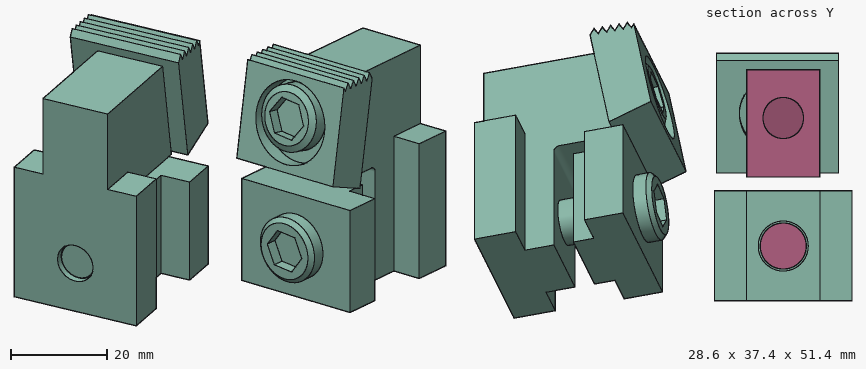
import cadquery as cq
import math

body_width = 28.55
post_width = 15.2
incline = 10.0
incline_sin = math.sin(math.radians(incline))
incline_cos = math.cos(math.radians(incline))
incline_tan = math.tan(math.radians(incline))

post_bottom = 0.15
post_top = 47.95
wing_top = 30.35
wing_depth = 8.95
leg_depth = 15.2
overhang_bottom = 25.65
overhang_reach = 28.45
corner_fillet = 1.3

jaw_width = 25.4
jaw_center_x = -1.2
jaw_thickness = 9.5
jaw_tip_z = 26.45
jaw_bottom_slope = 20.0
crest_z = 51.4
tooth_count = 5
tooth_pitch = 1.8
tooth_half_angle = 30.0
jaw_hole_z = 38.7
jaw_screw_z = 39.2
counterbore_diameter = 18.05
counterbore_depth = 4.05
front_recess_diameter = 15.8
front_recess_depth = 2.25
web_hole_diameter = 14.5

plate_height = 22.85
plate_front = 19.4
plate_shoulder = 23.85
plate_back = 32.15
plate_hole_diameter = 10.4

head_diameter = 14.3
clamp_head_height = 3.8
jaw_head_recess = 0.15
shank_diameter = 9.6
thread_diameter = 8.25
tip_chamfer = 0.25
socket_across_corners = 9.15
socket_depth = 2.55
socket_turn = -6.0
clamp_screw_z = 11.35
clamp_tip_gap = 1.35
clamp_face_diameter = 12.35
clamp_chamfer_height = 1.0
jaw_face_diameter = 11.4
jaw_chamfer_height = 0.8
jaw_thread_length = 12.85


def seat_y(z):
    """Y of the inclined jaw seat at height z."""
    return overhang_reach - (z - overhang_bottom) * incline_tan


def seat_plane(x, z, distance):
    """Plane square to the axis that leaves the jaw seat at (x, z), `distance` behind the seat."""
    origin = (x, seat_y(z) + distance * incline_cos, z + distance * incline_sin)
    return cq.Plane(origin=origin, xDir=(1, 0, 0), normal=(0, incline_cos, incline_sin))


def clamp_plane(y):
    """Plane facing +Y at the given Y, centred on the clamp screw axis."""
    return cq.Plane(origin=(0, y, clamp_screw_z), xDir=(1, 0, 0), normal=(0, 1, 0))


def cylinder(plane, diameter, length):
    return cq.Workplane(plane).circle(diameter / 2).extrude(length)


def centered_block(width, y_front, y_back, z_bottom, z_top):
    """Block centred on X = 0."""
    return (
        cq.Workplane("XY", origin=(0, (y_front + y_back) / 2, z_bottom))
        .rect(width, y_back - y_front)
        .extrude(z_top - z_bottom)
    )


def make_post():
    upright = (
        cq.Workplane("YZ", origin=(-post_width / 2, 0, 0))
        .moveTo(0, post_bottom)
        .lineTo(leg_depth, post_bottom)
        .lineTo(leg_depth, overhang_bottom - corner_fillet)
        .radiusArc((leg_depth + corner_fillet, overhang_bottom), corner_fillet)
        .lineTo(overhang_reach, overhang_bottom)
        .lineTo(seat_y(post_top), post_top)
        .lineTo(0, post_top)
        .close()
        .extrude(post_width)
    )
    base = centered_block(body_width, 0, wing_depth, post_bottom, wing_top)
    clamp_hole = cylinder(clamp_plane(0), thread_diameter, leg_depth)
    jaw_hole = cylinder(seat_plane(0, jaw_screw_z, 0), thread_diameter, -jaw_thread_length)
    return upright.union(base).cut(clamp_hole).cut(jaw_hole)


def jaw_outline():
    """Side outline of the jaw as (y, z) points, with its toothed top edge."""
    flank_slope = 1 / math.tan(math.radians(tooth_half_angle))
    tooth_depth = tooth_pitch / 2 * flank_slope
    root_z = crest_z - tooth_depth
    root_y = seat_y(root_z)
    back_shift = jaw_thickness / incline_cos
    bottom_slope = math.tan(math.radians(jaw_bottom_slope))

    points = [(seat_y(jaw_tip_z), jaw_tip_z)]
    for tooth in range(tooth_count):
        tooth_start = root_y + tooth * tooth_pitch
        points.append((tooth_start, root_z))
        points.append((tooth_start + tooth_pitch / 2, crest_z))
    last_root = root_y + tooth_count * tooth_pitch
    points.append((last_root, root_z))

    back_at_root = root_y + back_shift
    part_tooth_rise = (back_at_root - last_root) * flank_slope / (1 + flank_slope * incline_tan)
    points.append((last_root + part_tooth_rise / flank_slope, root_z + part_tooth_rise))

    bottom_run = back_shift / (1 + bottom_slope * incline_tan)
    points.append((seat_y(jaw_tip_z) + bottom_run, jaw_tip_z + bottom_run * bottom_slope))
    return points


def make_jaw():
    blank = (
        cq.Workplane("YZ", origin=(jaw_center_x - jaw_width / 2, 0, 0))
        .polyline(jaw_outline())
        .close()
        .extrude(jaw_width)
    )
    front_center = seat_plane(jaw_center_x, jaw_hole_z, 0)
    back_center = seat_plane(jaw_center_x, jaw_hole_z, jaw_thickness)
    counterbore = cylinder(back_center, counterbore_diameter, -counterbore_depth)
    front_recess = cylinder(front_center, front_recess_diameter, front_recess_depth)
    web_hole = cylinder(seat_plane(0, jaw_screw_z, 0), web_hole_diameter, jaw_thickness)
    return blank.cut(counterbore).cut(front_recess).cut(web_hole)


def make_clamp_plate():
    wide_part = centered_block(body_width, plate_shoulder, plate_back, 0, plate_height)
    tongue = centered_block(post_width, plate_front, plate_shoulder, 0, plate_height)
    screw_hole = cylinder(clamp_plane(plate_front), plate_hole_diameter, plate_back - plate_front)
    return wide_part.union(tongue).cut(screw_hole)


def make_screw(seat, head_height, face_diameter, chamfer_height, shank_length, thread_length):
    """Socket-head screw whose head stands on the `seat` plane and points along its normal."""
    thread_start = -shank_length
    thread_end = thread_start - thread_length
    head = (
        cq.Workplane("XZ")
        .lineTo(head_diameter / 2, 0)
        .lineTo(head_diameter / 2, head_height - chamfer_height)
        .lineTo(face_diameter / 2, head_height)
        .lineTo(0, head_height)
        .close()
        .revolve(360, (0, 0, 0), (0, 1, 0))
    )
    thread = (
        cq.Workplane("XY", origin=(0, 0, thread_end))
        .circle(thread_diameter / 2)
        .extrude(thread_length)
        .faces("<Z")
        .chamfer(tip_chamfer)
    )
    screw = head.union(thread)
    if shank_length > 0:
        shank = cylinder(cq.Plane.XY(), shank_diameter, -shank_length)
        screw = screw.union(shank)
    socket = (
        cq.Workplane("XY", origin=(0, 0, head_height))
        .polygon(6, socket_across_corners)
        .extrude(-socket_depth)
        .rotate((0, 0, 0), (0, 0, 1), socket_turn)
    )
    return screw.cut(socket).val().moved(cq.Location(seat))


post = make_post()
jaw = make_jaw()
clamp_plate = make_clamp_plate()
clamp_screw = make_screw(
    clamp_plane(plate_back),
    clamp_head_height,
    clamp_face_diameter,
    clamp_chamfer_height,
    shank_length=plate_back - leg_depth,
    thread_length=leg_depth - clamp_tip_gap,
)
jaw_screw = make_screw(
    seat_plane(0, jaw_screw_z, 0),
    jaw_thickness - jaw_head_recess,
    jaw_face_diameter,
    jaw_chamfer_height,
    shank_length=0,
    thread_length=jaw_thread_length,
)

result = cq.Compound.makeCompound([post.val(), jaw.val(), clamp_plate.val(), clamp_screw, jaw_screw])